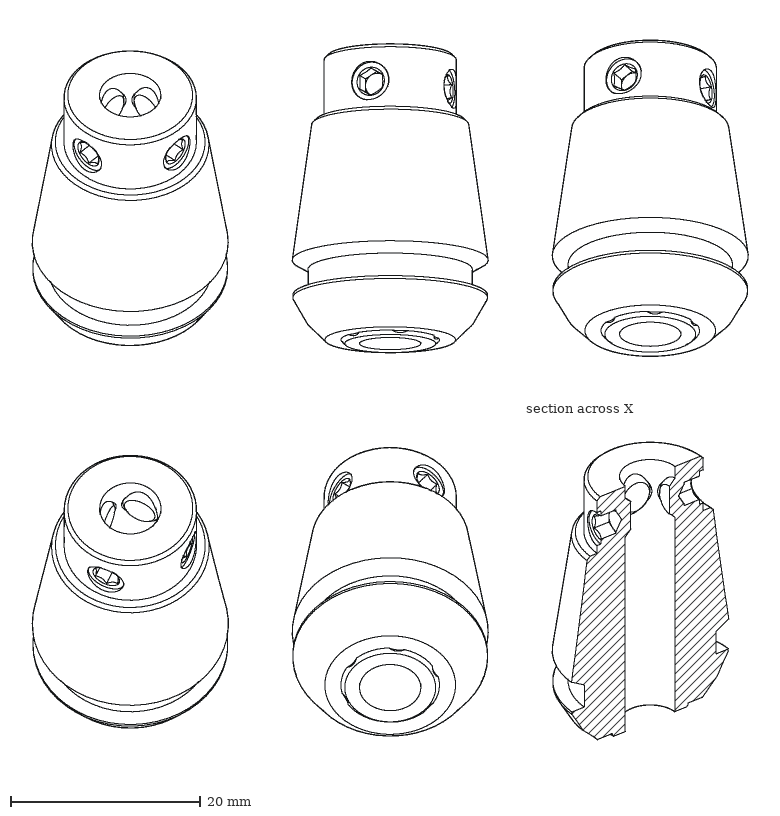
import cadquery as cq

height = 31.0
collar_diameter = 14.0
collar_base_z = 24.0
edge_chamfer = 0.4
bore_diameter = 6.48

sleeve_max_diameter = 20.75
sleeve_top_diameter = 16.65
sleeve_base_z = 9.0

groove_diameter = 17.4
groove_top_z = 8.0

ring_diameter = 20.6
ring_top_z = 5.25
ring_rim_height = 0.3
ring_break_diameter = 17.67
ring_break_z = 2.32
ring_face_diameter = 13.83

plug_height = 0.4
plug_tip_diameter = 9.6
scallop_count = 6
scallop_radius = 2.48
scallop_inner_reach = 5.0

screw_count = 4
screw_axis_z = 27.03
screw_hole_diameter = 4.12
screw_diameter = 5.0
screw_length = 4.0
screw_tip_reach = 2.5
screw_tip_diameter = 3.5
socket_across_flats = 2.5
socket_depth = 2.0
socket_mouth_diameter = 3.05
socket_cone_depth = 0.7


def make_body():
    """Revolved outer shape, with the bore running right through."""
    collar_radius = collar_diameter / 2
    sleeve_top_radius = sleeve_top_diameter / 2
    profile = (
        cq.Workplane("XZ")
        .moveTo(0, 0)
        .lineTo(plug_tip_diameter / 2, 0)
        .lineTo(plug_tip_diameter / 2 + plug_height, plug_height)
        .lineTo(ring_face_diameter / 2, plug_height)
        .lineTo(ring_break_diameter / 2, ring_break_z)
        .lineTo(ring_diameter / 2, ring_top_z - ring_rim_height)
        .lineTo(ring_diameter / 2, ring_top_z)
        .lineTo(groove_diameter / 2, ring_top_z)
        .lineTo(groove_diameter / 2, groove_top_z)
        .lineTo(sleeve_max_diameter / 2, sleeve_base_z)
        .lineTo(sleeve_top_radius, collar_base_z - edge_chamfer)
        .lineTo(sleeve_top_radius - edge_chamfer, collar_base_z)
        .lineTo(collar_radius, collar_base_z)
        .lineTo(collar_radius, height - edge_chamfer)
        .lineTo(collar_radius - edge_chamfer, height)
        .lineTo(0, height)
        .close()
    )
    body = profile.revolve(360, (0, 0), (0, 1))
    bore = cq.Workplane("XY").circle(bore_diameter / 2).extrude(height)
    return body.cut(bore)


def make_plug_scallops():
    """Cutters for the upright scallops evenly spaced around the plug rim."""
    return (
        cq.Workplane("XY")
        .polarArray(scallop_inner_reach + scallop_radius, 90, 360, scallop_count)
        .circle(scallop_radius)
        .extrude(plug_height)
    )


def make_screw_hole():
    """Cutter along +X, from the bore axis out through the collar wall."""
    hole = cq.Workplane("YZ").circle(screw_hole_diameter / 2).extrude(collar_diameter)
    return hole.translate((0, 0, screw_axis_z))


def make_screw():
    """Set screw along +X: 45 degree point towards the bore, hexagon socket outside."""
    screw_radius = screw_diameter / 2
    tip_radius = screw_tip_diameter / 2
    outer_end = screw_tip_reach + screw_length
    cone_base = outer_end - socket_depth
    screw = (
        cq.Workplane("XY")
        .moveTo(screw_tip_reach, 0)
        .lineTo(screw_tip_reach, tip_radius)
        .lineTo(screw_tip_reach + screw_radius - tip_radius, screw_radius)
        .lineTo(outer_end, screw_radius)
        .lineTo(outer_end, 0)
        .close()
        .revolve(360, (0, 0), (1, 0))
    )

    socket = (
        cq.Workplane("YZ", origin=(cone_base, 0, 0))
        .polygon(6, socket_across_flats, circumscribed=True)
        .extrude(socket_depth)
    )

    flat_radius = socket_across_flats / 2
    mouth_radius = socket_mouth_diameter / 2
    mouth_base = outer_end - (mouth_radius - flat_radius)
    drilling = (
        cq.Workplane("XY")
        .moveTo(cone_base - socket_cone_depth, 0)
        .lineTo(cone_base, flat_radius)
        .lineTo(mouth_base, flat_radius)
        .lineTo(outer_end, mouth_radius)
        .lineTo(outer_end, 0)
        .close()
        .revolve(360, (0, 0), (1, 0))
    )
    return screw.cut(socket).cut(drilling).translate((0, 0, screw_axis_z))


result = make_body().cut(make_plug_scallops())
for index in range(screw_count):
    angle = 360 / screw_count * index
    result = result.cut(make_screw_hole().rotate((0, 0, 0), (0, 0, 1), angle))
    result = result.union(make_screw().rotate((0, 0, 0), (0, 0, 1), angle))